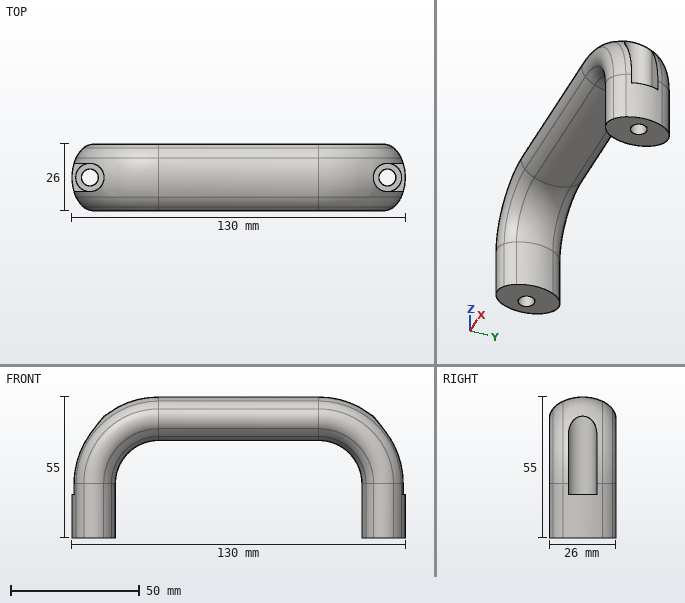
import cadquery as cq
import math

length = 130.0
width = 26.0
height = 55.0

bar_thickness = 17.0
bend_outer_radius = 33.8
bend_radius = bend_outer_radius - bar_thickness / 2
leg_x = length / 2 - bar_thickness / 2
leg_height = height - bend_outer_radius
grip_half_length = leg_x - bend_radius

end_joint_angle = 36
side_joint_angle = 63

screw_spacing = 116.0
hole_diameter = 6.5
recess_diameter = 11.0
slot_floor = 17.0
recess_floor = 10.7


def ellipse_point(angle):
    """Point on the ellipse that the section follows, for an angle in degrees."""
    turn = math.radians(angle)
    return (bar_thickness / 2 * math.cos(turn), width / 2 * math.sin(turn))


def make_section():
    """Closed outline of eight arcs, centred on the foot of the left leg."""
    quarter = (end_joint_angle, side_joint_angle)
    half = quarter + tuple(180 - angle for angle in reversed(quarter))
    joints = half + tuple(180 + angle for angle in half)
    start = joints[0]
    section = cq.Workplane("XY").center(-leg_x, 0).moveTo(*ellipse_point(start))
    for begin, end in zip(joints, joints[1:] + (start + 360,)):
        section = section.threePointArc(ellipse_point((begin + end) / 2), ellipse_point(end))
    return section.close()


def make_bar():
    """Sweep the section up one leg, along the grip and down the other leg."""
    bar_center_z = height - bar_thickness / 2
    path = (
        cq.Workplane("XZ")
        .moveTo(-leg_x, 0)
        .lineTo(-leg_x, leg_height)
        .tangentArcPoint((-grip_half_length, bar_center_z), relative=False)
        .lineTo(grip_half_length, bar_center_z)
        .tangentArcPoint((leg_x, leg_height), relative=False)
        .lineTo(leg_x, 0)
    )
    return make_section().sweep(path)


def make_screw_cut(side):
    """Screw hole, round head recess and a shallower slot to the outer end; side is -1 or 1."""
    screw_x = side * screw_spacing / 2
    slot_length = (length - screw_spacing) / 2
    slot_x = screw_x + side * slot_length / 2
    hole = cq.Workplane("XY").center(screw_x, 0).circle(hole_diameter / 2).extrude(height)
    recess = (
        cq.Workplane("XY", origin=(screw_x, 0, recess_floor))
        .circle(recess_diameter / 2)
        .extrude(height - recess_floor)
    )
    slot = (
        cq.Workplane("XY", origin=(slot_x, 0, slot_floor))
        .rect(slot_length, recess_diameter)
        .extrude(height - slot_floor)
    )
    return hole.union(recess).union(slot)


result = make_bar()
for side in (-1, 1):
    result = result.cut(make_screw_cut(side))